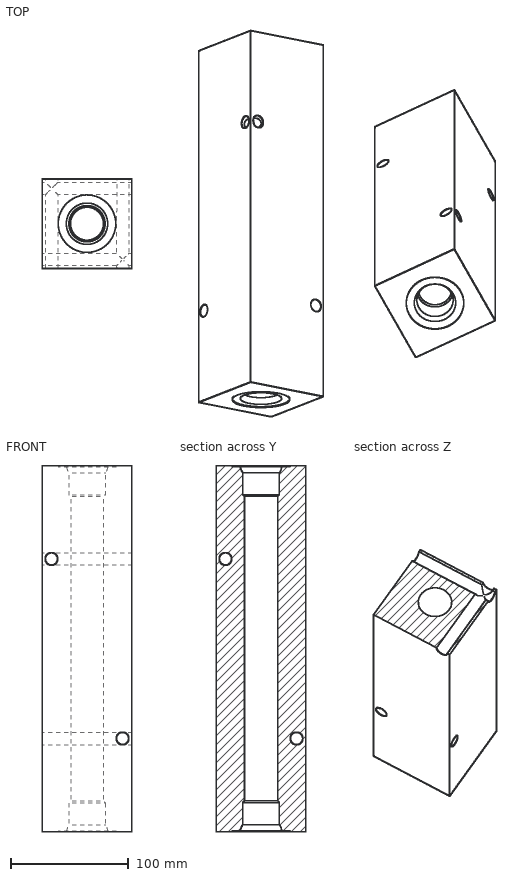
import cadquery as cq

length = 311.0
side = 76.2
edge_chamfer = 0.3

bore_diameter = 28.0
port_core_diameter = 30.8
seat_outer_diameter = 35.2
seat_inner_diameter = 33.3
spotface_diameter = 49.0

spotface_depth = 1.0
seat_depth = spotface_depth + 3.0
lead_in_depth = seat_depth + 2.2
port_core_depth = 25.0
port_core_taper_length = (port_core_diameter - bore_diameter) / 2

cross_hole_diameter = 10.3
cross_hole_chamfer = 0.3
cross_hole_offset = 30.2
cross_hole_height = 76.2


def make_block():
    return cq.Workplane("XY").box(side, side, length).edges().chamfer(edge_chamfer)


def make_upper_port():
    """Upper half of the axial cavity: spotface, seal seat, lead-in, core and through bore."""
    top = length / 2
    core_bottom = top - port_core_depth
    profile = [
        (0, top),
        (spotface_diameter / 2, top),
        (spotface_diameter / 2, top - spotface_depth),
        (seat_outer_diameter / 2, top - spotface_depth),
        (seat_inner_diameter / 2, top - seat_depth),
        (port_core_diameter / 2, top - lead_in_depth),
        (port_core_diameter / 2, core_bottom),
        (bore_diameter / 2, core_bottom - port_core_taper_length),
        (bore_diameter / 2, 0),
        (0, 0),
    ]
    return cq.Workplane("XZ").polyline(profile).close().revolve(360, (0, 0), (0, 1))


def make_cross_drills(plane, upper_hole_offset):
    """Two diagonally opposed drills along the normal of the plane."""
    centres = [
        (upper_hole_offset, cross_hole_height),
        (-upper_hole_offset, -cross_hole_height),
    ]
    drills = cq.Workplane(plane).pushPoints(centres).circle(cross_hole_diameter / 2)
    return drills.extrude(side, both=True)


upper_port = make_upper_port()
axial_cavity = upper_port.union(upper_port.mirror("XY"))

drilled_block = (
    make_block()
    .cut(axial_cavity)
    .cut(make_cross_drills("XZ", -cross_hole_offset))
    .cut(make_cross_drills("YZ", cross_hole_offset))
)

cross_hole_mouths = drilled_block.faces("|X or |Y").edges("%CIRCLE")
result = cross_hole_mouths.chamfer(cross_hole_chamfer)